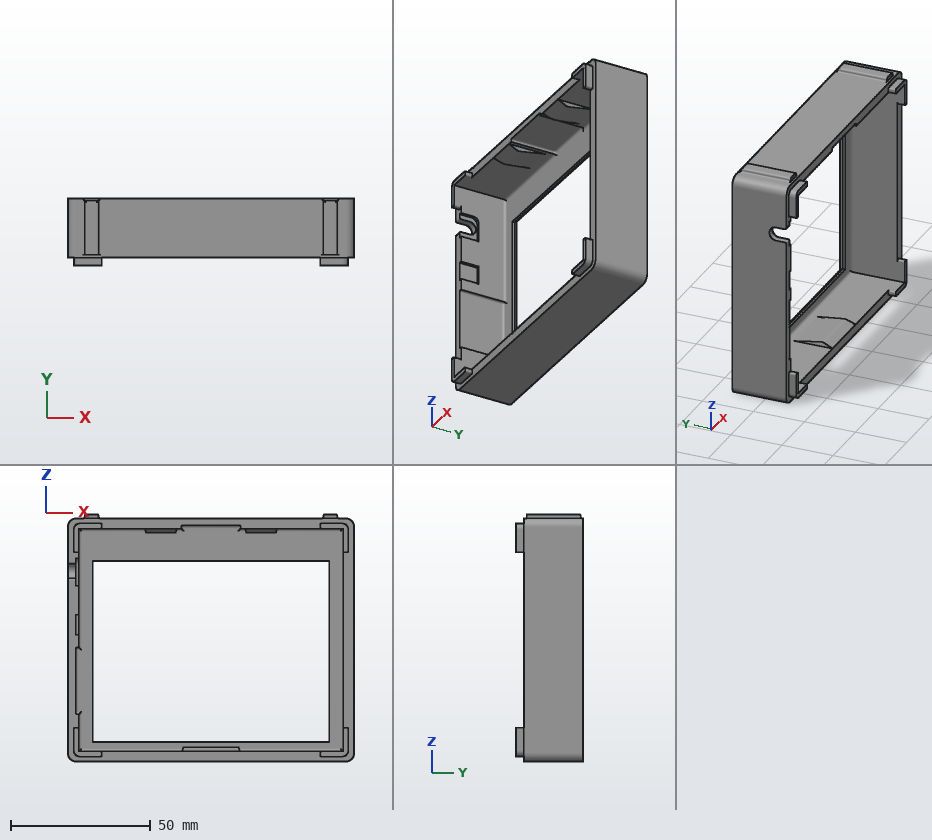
import cadquery as cq


width = 102.6
height = 87.2
depth = 21.2
corner_radius = 3.1
side_wall = 4.0
end_wall = 3.7
floor_thickness = 3.1
floor_fillet = 1.0

window_width = 84.6
window_bottom = 7.1
window_top = 71.8
window_land = 1.0

recess_depth = 1.1
recess_corner_radius = 0.5
top_recess_width = 21.2
side_recess_bottom = 17.0
side_recess_top = 40.9

tab_length_x = 10.1
tab_length_z = 10.4
tab_thickness = 1.8
tab_height = 2.9
tab_corner_radius = 2.2
tab_end_radius = 0.5

ridge_height = 1.6
ridge_peak_y = 4.0
ridge_end_y = 14.9
ridge_radius = 3.1
ridge_end_taper = 0.5
lower_ridge_width = 20.7
upper_ridge_width = 11.5
upper_ridge_offset = 18.0

slot_width = 5.2
slot_depth = 6.7
slot_z = 68.3
slot_mouth_radius = 0.7
pocket_depth = 7.2
cable_pocket_bottom = 63.1
cable_pocket_top = 72.8
cable_pocket_radius = 2.3
small_pocket_bottom = 45.5
small_pocket_top = 52.6

rail_offset = 42.8
rail_height = 1.4
rail_width = 5.0
rail_foot_radius = 0.5
rail_crest_radius = 0.7
rail_front_y = 1.0
rail_back_y = 20.4

inner_x = width / 2 - side_wall
inner_bottom = end_wall
inner_top = height - end_wall
floor_y = depth - floor_thickness


def block(x0, x1, y0, y1, z0, z1):
    """Box between two opposite corners."""
    return cq.Workplane("XY").box(x1 - x0, y1 - y0, z1 - z0, centered=False).translate((x0, y0, z0))


def arc_middle(radius):
    """Distance from the corner of a quarter round to the middle of its arc, along either side."""
    return radius * (1 - 0.5 ** 0.5)


def make_body():
    return block(-width / 2, width / 2, 0, depth, 0, height).edges("|Y").fillet(corner_radius)


def make_cavity():
    """Cavity with its wall recesses, rounded where it meets the floor."""
    half_recess = top_recess_width / 2
    top_recess = block(-half_recess, half_recess, 0, floor_y, inner_bottom, inner_top + recess_depth)
    side_recess = block(-inner_x - recess_depth, 0, 0, floor_y, side_recess_bottom, side_recess_top)
    cavity = block(-inner_x, inner_x, 0, floor_y, inner_bottom, inner_top)
    cavity = cavity.union(top_recess.edges("|Y and >Z").fillet(recess_corner_radius))
    cavity = cavity.union(side_recess.edges("|Y and <X").fillet(recess_corner_radius))
    return cavity.faces(">Y").edges().fillet(floor_fillet)


def make_window():
    """Window with a straight land at the floor and a 45 degree bevel opening to the back."""
    half = window_width / 2
    bevel = floor_thickness - window_land
    land = block(-half, half, floor_y, depth - bevel, window_bottom, window_top)
    flare = (
        cq.Workplane("XZ", origin=(0, depth - bevel, (window_bottom + window_top) / 2))
        .rect(window_width, window_top - window_bottom)
        .workplane(offset=-bevel)
        .rect(window_width + 2 * bevel, window_top - window_bottom + 2 * bevel)
        .loft()
    )
    return land.union(flare)


def make_tab():
    """L-shaped tab hugging the lower left corner of the cavity."""
    left = -inner_x - tab_thickness
    bottom = inner_bottom - tab_thickness
    right = left + tab_length_x
    top = bottom + tab_length_z
    tab = block(left, right, -tab_height, 0, bottom, top)
    tab = tab.edges("|Y and <X and <Z").fillet(tab_corner_radius)
    tab = tab.cut(block(-inner_x, right, -tab_height, 0, inner_bottom, top))
    return tab.edges("|Y and (>X or >Z)").fillet(tab_end_radius)


def make_tabs():
    left_pair = make_tab()
    left_pair = left_pair.union(left_pair.mirror("XY", (0, 0, height / 2)))
    return left_pair.union(left_pair.mirror("YZ"))


def make_ridge(ridge_width):
    """Upward wedge with a rounded crest and sloping ends, centred on X = 0 with its base at Z = 0."""
    wedge = (
        cq.Workplane("YZ")
        .polyline([(0, 0), (ridge_peak_y, ridge_height), (ridge_end_y, 0)])
        .close()
        .extrude(ridge_width / 2, both=True)
    )
    half_base = ridge_width / 2
    half_top = half_base - ridge_end_taper
    ends = (
        cq.Workplane("XZ")
        .polyline([(-half_base, 0), (-half_top, ridge_height), (half_top, ridge_height), (half_base, 0)])
        .close()
        .extrude(-ridge_end_y)
    )
    return wedge.edges("|X and >Z").fillet(ridge_radius).intersect(ends)


def make_ridges():
    ridges = make_ridge(lower_ridge_width).translate((0, 0, inner_bottom))
    hanging = make_ridge(upper_ridge_width).mirror("XY").translate((0, 0, inner_top))
    for side in (-1, 1):
        ridges = ridges.union(hanging.translate((side * upper_ridge_offset, 0, 0)))
    return ridges


def make_slot():
    """Round-ended slot through the left wall with a flared mouth at the front."""
    half = slot_width / 2
    mouth = half + slot_mouth_radius
    straight = slot_depth - half
    flare = arc_middle(slot_mouth_radius)
    return (
        cq.Workplane("YZ", origin=(-width / 2, 0, slot_z))
        .moveTo(0, -mouth)
        .threePointArc((flare, -half - flare), (slot_mouth_radius, -half))
        .lineTo(straight, -half)
        .threePointArc((slot_depth, 0), (straight, half))
        .lineTo(slot_mouth_radius, half)
        .threePointArc((flare, half + flare), (0, mouth))
        .close()
        .extrude(side_wall)
    )


def make_pocket(bottom, top):
    return block(-inner_x - recess_depth, -inner_x, 0, pocket_depth, bottom, top)


def add_rail_flank(outline, flank):
    """Continue a crest outline over a rounded edge, down a flank and out along a hollow foot to Z = 0."""
    crest_mid = arc_middle(rail_crest_radius)
    foot_mid = arc_middle(rail_foot_radius)
    return (
        outline.lineTo(flank - rail_crest_radius, rail_height)
        .threePointArc(
            (flank - crest_mid, rail_height - crest_mid),
            (flank, rail_height - rail_crest_radius),
        )
        .lineTo(flank, rail_foot_radius)
        .threePointArc((flank + foot_mid, foot_mid), (flank + rail_foot_radius, 0))
    )


def make_rail():
    """Rail with rounded crest edges and a hollow foot, square at its front end."""
    half = rail_width / 2
    half_across = add_rail_flank(cq.Workplane("XZ").moveTo(0, rail_height), half).lineTo(0, 0).close()
    half_rail = half_across.extrude(-depth)
    across = half_rail.union(half_rail.mirror("YZ"))
    along = (
        add_rail_flank(cq.Workplane("YZ").moveTo(rail_front_y, rail_height), rail_back_y)
        .lineTo(rail_front_y, 0)
        .close()
        .extrude(rail_width, both=True)
    )
    return across.intersect(along).translate((0, 0, height))


cable_pocket = make_pocket(cable_pocket_bottom, cable_pocket_top)
cable_pocket = cable_pocket.edges("|X and >Y and >Z").fillet(cable_pocket_radius)

result = make_body().cut(make_cavity()).cut(make_window())
result = result.cut(make_slot()).cut(cable_pocket)
result = result.cut(make_pocket(small_pocket_bottom, small_pocket_top))
result = result.union(make_tabs()).union(make_ridges())
for side in (-1, 1):
    result = result.union(make_rail().translate((side * rail_offset, 0, 0)))